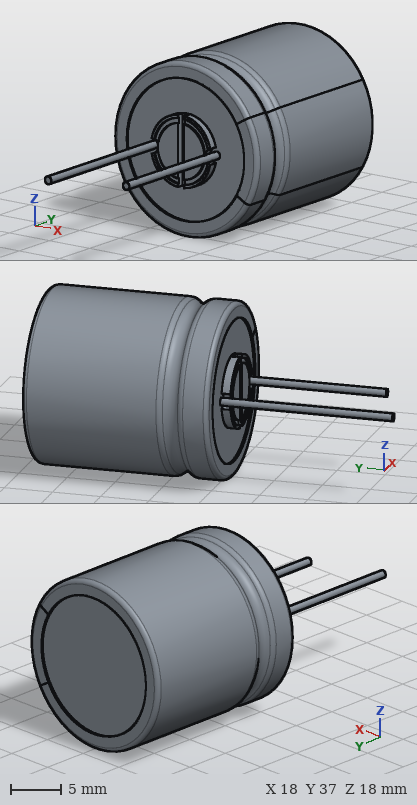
import cadquery as cq
import math

can_radius = 9.0
can_length = 19.3
end_fillet = 0.48

groove_center = 4.0
shoulder_radius = 0.85
groove_radius = 1.1
groove_angle = math.radians(45)

sleeve_thickness = 0.2
sleeve_opening_radius = 7.33
stripe_half_angle = math.radians(30)

boss_radius = 3.75
boss_projection = 0.75
ring_groove_outer_radius = 3.4
ring_groove_inner_radius = 2.9
ring_groove_depth = 0.15
slot_width = 0.78

lead_radius = 0.4
lead_spacing = 7.5
lead_offset = lead_spacing / 2
lead_clearance_radius = 0.8
long_lead_reach = 37 - can_length
short_lead_reach = 14.75

seal_face = sleeve_thickness
boss_top = -boss_projection
boss_height = boss_projection + seal_face


def arc_points(center, radius, start_angle, end_angle):
    """Middle and end points of an arc, with angles in radians."""
    return [
        (center[0] + radius * math.cos(angle), center[1] + radius * math.sin(angle))
        for angle in ((start_angle + end_angle) / 2, end_angle)
    ]


def grooved_can(inset):
    """Solid can with its whole outer surface moved inward by inset."""
    wall = can_radius - inset
    front = inset
    back = can_length - inset
    fillet = end_fillet - inset
    shoulder = shoulder_radius - inset
    groove = groove_radius + inset
    center_span = shoulder_radius + groove_radius
    shoulder_x = can_radius - shoulder_radius
    shoulder_shift = center_span * math.sin(groove_angle)
    groove_x = shoulder_x + center_span * math.cos(groove_angle)
    right = math.pi / 2
    front_shoulder = (shoulder_x, groove_center - shoulder_shift)
    back_shoulder = (shoulder_x, groove_center + shoulder_shift)
    profile = (
        cq.Workplane("XY")
        .moveTo(0, front)
        .lineTo(wall - fillet, front)
        .threePointArc(*arc_points((wall - fillet, front + fillet), fillet, -right, 0))
        .lineTo(wall, front_shoulder[1])
        .threePointArc(*arc_points(front_shoulder, shoulder, 0, groove_angle))
        .threePointArc(*arc_points((groove_x, groove_center), groove,
                                   math.pi + groove_angle, math.pi - groove_angle))
        .threePointArc(*arc_points(back_shoulder, shoulder, -groove_angle, 0))
        .lineTo(wall, back - fillet)
        .threePointArc(*arc_points((wall - fillet, back - fillet), fillet, 0, right))
        .lineTo(0, back)
        .close()
    )
    return profile.revolve(360, (0, 0, 0), (0, 1, 0))


def cylinder_along_y(radius, start, length, x=0):
    """Cylinder running from y = start toward +Y."""
    return cq.Workplane("XZ", origin=(x, start, 0)).circle(radius).extrude(-length)


def make_boss():
    """Round boss with a slot down to y = 0, a shallow ring groove and clearance around the leads."""
    boss = cylinder_along_y(boss_radius, boss_top, boss_height)
    ring_groove = cylinder_along_y(ring_groove_outer_radius, boss_top, ring_groove_depth).cut(
        cylinder_along_y(ring_groove_inner_radius, boss_top, ring_groove_depth)
    )
    slot = cq.Workplane("XY").box(slot_width, boss_projection, 2 * boss_radius, (True, False, True))
    boss = boss.cut(ring_groove).cut(slot.translate((0, boss_top, 0)))
    for x in (-lead_offset, lead_offset):
        boss = boss.cut(cylinder_along_y(lead_clearance_radius, boss_top, boss_height, x))
    return boss


def make_full_sleeve():
    """Complete sleeve, open in the middle of both ends."""
    opening = cylinder_along_y(sleeve_opening_radius, 0, can_length)
    return grooved_can(0).cut(grooved_can(sleeve_thickness)).cut(opening)


def make_stripe_wedge():
    """Wedge around the +X direction that reaches past the sleeve."""
    reach = 2 * can_radius
    half_width = reach * math.tan(stripe_half_angle)
    return (
        cq.Workplane("XZ")
        .polyline([(0, 0), (reach, -half_width), (reach, half_width)])
        .close()
        .extrude(-can_length)
    )


def make_lead(x, reach):
    """Straight round lead standing on the seal face."""
    return cylinder_along_y(lead_radius, -reach, reach + seal_face, x)


core = grooved_can(sleeve_thickness).union(make_boss())
full_sleeve = make_full_sleeve()
stripe_wedge = make_stripe_wedge()
sleeve = full_sleeve.cut(stripe_wedge)
stripe = full_sleeve.intersect(stripe_wedge)
leads = [
    make_lead(x, reach).val()
    for x, reach in ((-lead_offset, long_lead_reach), (lead_offset, short_lead_reach))
]

result = cq.Compound.makeCompound([core.val(), sleeve.val(), stripe.val(), *leads])